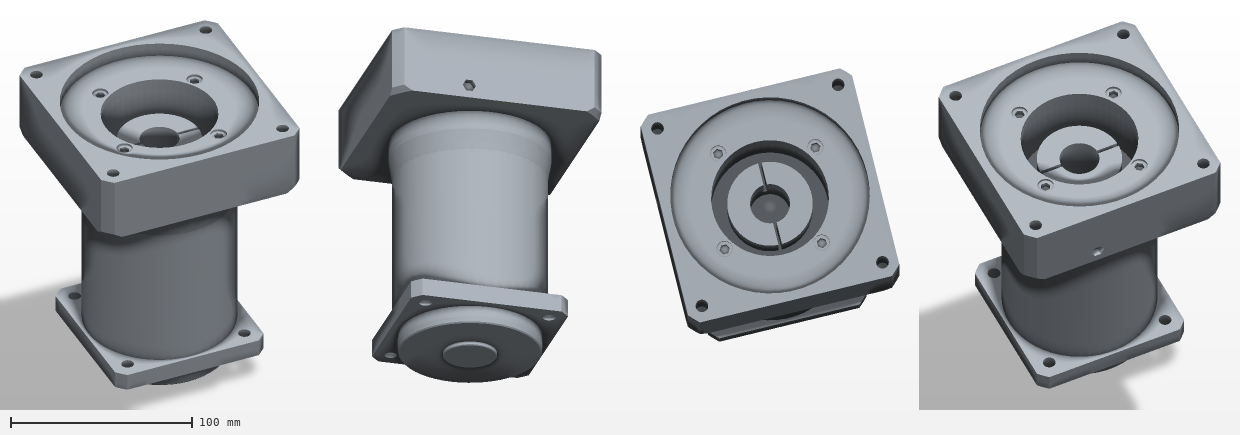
import cadquery as cq
import math

total_height = 166.5
shaft_length = 2.2
pilot_height = 10.0
pilot_taper_height = 3.7
pilot_edge_height = 0.7
output_flange_thickness = 10.0
barrel_top_z = 106.5
shoulder_height = 11.3
collar_height = 3.7
plate_thickness = 38.0

shaft_end_z = 0.0
pilot_bottom_z = shaft_end_z + shaft_length
flange_bottom_z = pilot_bottom_z + pilot_height
flange_top_z = flange_bottom_z + output_flange_thickness
shoulder_top_z = barrel_top_z + shoulder_height
housing_top_z = shoulder_top_z + collar_height
plate_bottom_z = total_height - plate_thickness

plate_width = 120.0
plate_corner_diameter = 162.2
corner_bevel = 3.0
boss_diameter = 89.9
motor_pilot_diameter = 110.0
motor_pilot_depth = 8.2
adapter_bore_diameter = 65.0
motor_bolt_circle = 145.0
motor_hole_diameter = 7.0
motor_hole_depth = 20.0
drill_point_angle = 118.0

hexagon_sides = 6
screw_count = 4
screw_circle = 76.0
screw_first_angle = 35.0
screw_recess_diameter = 9.0
screw_recess_depth = 1.3
screw_hex_flats = 5.0
screw_hex_depth = 3.0
screw_hex_turn = -35.0

plug_diameter = 10.0
plug_length = 10.0
plug_hex_flats = 6.5
plug_hex_depth = 4.0
plug_y = 17.3
plug_z = plate_bottom_z + 7.3

barrel_diameter = 86.0
output_flange_width = boss_diameter
output_corner_diameter = 120.0
pilot_diameter = 80.0
pilot_taper = 0.3
pilot_edge = 0.7
shaft_diameter = 30.0
shaft_edge = 0.5
output_bolt_circle = 100.0
output_hole_diameter = 7.0

hub_depth = 16.8
hub_diameter = 47.1
hub_neck_diameter = 30.1
hub_bore_diameter = 22.0
hub_clearance = 3.3
hub_neck_depth = 10.0
hub_slot_width = 2.0
recess_floor_z = total_height - motor_pilot_depth
hub_top_z = recess_floor_z - hub_depth
hub_collar_bottom_z = housing_top_z + hub_clearance
hub_bottom_z = housing_top_z - hub_neck_depth


def hex_corner_diameter(flats):
    """Circumscribed diameter of a hexagon with the given width across flats."""
    return flats / math.cos(math.pi / hexagon_sides)


def square_plate(width, thickness, bottom_z):
    """Upright square plate with sharp corners."""
    return cq.Workplane("XY", origin=(0, 0, bottom_z)).rect(width, width).extrude(thickness)


def cylinder(diameter, bottom_z, top_z):
    """Cylinder on the vertical axis between two heights."""
    return cq.Workplane("XY", origin=(0, 0, bottom_z)).circle(diameter / 2).extrude(top_z - bottom_z)


def corner_points(bolt_circle):
    """Four points at the corners of the square inscribed in a bolt circle."""
    offset = bolt_circle / 2 * math.cos(math.pi / 4)
    return [(x, y) for x in (-offset, offset) for y in (-offset, offset)]


def motor_holes():
    """Blind drilled holes with conical ends for the motor bolts."""
    radius = motor_hole_diameter / 2
    point_depth = radius / math.tan(math.radians(drill_point_angle / 2))
    drill = (
        cq.Workplane("XZ")
        .lineTo(radius, 0)
        .lineTo(radius, -motor_hole_depth)
        .lineTo(0, -motor_hole_depth - point_depth)
        .close()
        .revolve(360, (0, 0, 0), (0, 1, 0))
        .val()
    )
    holes = cq.Workplane("XY")
    for x, y in corner_points(motor_bolt_circle):
        holes = holes.add(drill.translate(cq.Vector(x, y, total_height)))
    return holes.combine()


def screw_recesses():
    """Sunken screw heads: a shallow round recess with a hexagon socket in its floor."""
    head_z = recess_floor_z - screw_recess_depth
    recess = cylinder(screw_recess_diameter, head_z, recess_floor_z)
    socket = (
        cq.Workplane("XY", origin=(0, 0, head_z - screw_hex_depth))
        .polygon(hexagon_sides, hex_corner_diameter(screw_hex_flats))
        .extrude(screw_hex_depth)
        .rotate((0, 0, 0), (0, 0, 1), screw_hex_turn)
    )
    cutter = recess.union(socket).translate((screw_circle / 2, 0, 0))
    cutters = cq.Workplane("XY")
    for index in range(screw_count):
        angle = screw_first_angle + 360 / screw_count * index
        cutters = cutters.add(cutter.rotate((0, 0, 0), (0, 0, 1), angle))
    return cutters.combine()


def plug_plane():
    """Workplane on the -X face of the adapter, its normal pointing into the part."""
    centre = (-plate_width / 2, plug_y, plug_z)
    return cq.Workplane(cq.Plane(origin=centre, xDir=(0, 1, 0), normal=(1, 0, 0)))


def make_adapter():
    turned_blank = cylinder(plate_corner_diameter, plate_bottom_z, total_height)
    turned_blank = turned_blank.faces("<Z").chamfer(corner_bevel)
    adapter = square_plate(plate_width, plate_thickness, plate_bottom_z).intersect(turned_blank)
    adapter = adapter.union(cylinder(boss_diameter, housing_top_z, plate_bottom_z))
    adapter = adapter.cut(cylinder(motor_pilot_diameter, recess_floor_z, total_height))
    adapter = adapter.cut(cylinder(adapter_bore_diameter, housing_top_z, recess_floor_z))
    adapter = adapter.cut(motor_holes()).cut(screw_recesses())
    return adapter.cut(plug_plane().circle(plug_diameter / 2).extrude(plug_length))


def make_plug():
    plug = plug_plane().circle(plug_diameter / 2).extrude(plug_length)
    socket = plug_plane().polygon(hexagon_sides, hex_corner_diameter(plug_hex_flats)).extrude(plug_hex_depth)
    return plug.cut(socket)


def make_housing():
    shaft_radius = shaft_diameter / 2
    pilot_radius = pilot_diameter / 2
    barrel_radius = barrel_diameter / 2
    collar_radius = boss_diameter / 2
    turned_body = (
        cq.Workplane("XZ")
        .moveTo(0, shaft_end_z)
        .lineTo(shaft_radius - shaft_edge, shaft_end_z)
        .lineTo(shaft_radius, shaft_end_z + shaft_edge)
        .lineTo(shaft_radius, pilot_bottom_z)
        .lineTo(pilot_radius - pilot_taper - pilot_edge, pilot_bottom_z)
        .lineTo(pilot_radius - pilot_taper, pilot_bottom_z + pilot_edge_height)
        .lineTo(pilot_radius, pilot_bottom_z + pilot_taper_height)
        .lineTo(pilot_radius, flange_top_z)
        .lineTo(barrel_radius, flange_top_z)
        .lineTo(barrel_radius, barrel_top_z)
        .lineTo(collar_radius, shoulder_top_z)
        .lineTo(collar_radius, housing_top_z)
        .lineTo(0, housing_top_z)
        .close()
        .revolve(360, (0, 0, 0), (0, 1, 0))
    )
    flange = square_plate(output_flange_width, output_flange_thickness, flange_bottom_z)
    flange = flange.intersect(cylinder(output_corner_diameter, flange_bottom_z, flange_top_z))
    bolt_holes = (
        cq.Workplane("XY", origin=(0, 0, flange_bottom_z))
        .pushPoints(corner_points(output_bolt_circle))
        .circle(output_hole_diameter / 2)
        .extrude(output_flange_thickness)
    )
    hub_seat = cylinder(hub_neck_diameter, hub_bottom_z, housing_top_z)
    return turned_body.union(flange).cut(bolt_holes).cut(hub_seat)


def make_hub():
    hub = cylinder(hub_neck_diameter, hub_bottom_z, hub_collar_bottom_z)
    hub = hub.union(cylinder(hub_diameter, hub_collar_bottom_z, hub_top_z))
    hub = hub.cut(cylinder(hub_bore_diameter, hub_bottom_z, hub_top_z))
    slot_height = hub_top_z - housing_top_z
    slot = (
        cq.Workplane("XY", origin=(0, 0, housing_top_z))
        .rect(hub_slot_width, hub_diameter)
        .extrude(slot_height)
    )
    return hub.cut(slot)


adapter = make_adapter()
housing = make_housing()
hub = make_hub()
plug = make_plug()

result = cq.Compound.makeCompound([adapter.val(), housing.val(), hub.val(), plug.val()])